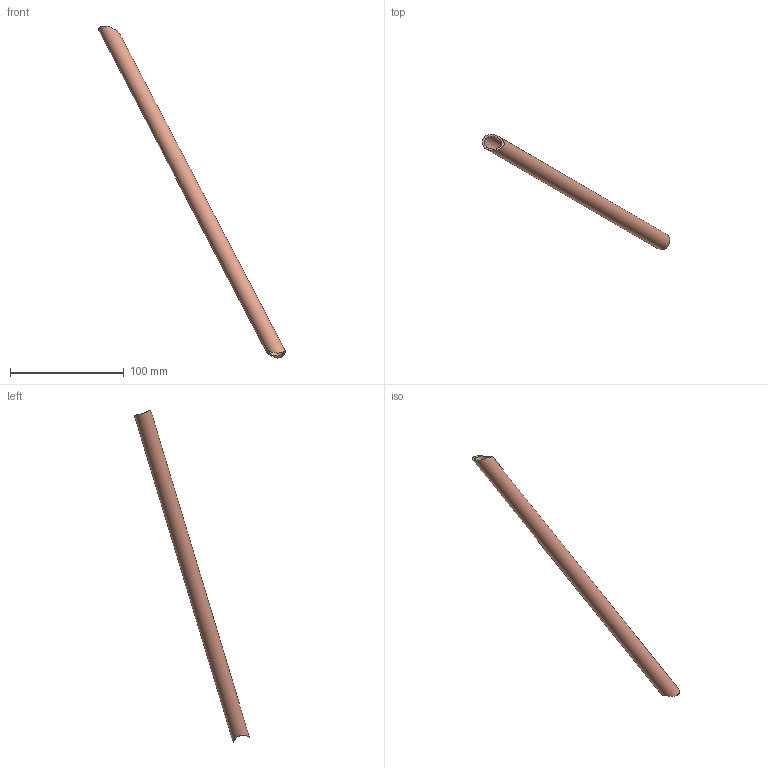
import cadquery as cq
import math

tube_diameter = 15.0
wall_thickness = 1.5
tube_radius = tube_diameter / 2
bore_radius = tube_radius - wall_thickness

lower_node = cq.Vector(0, 0, 0)
upper_node = cq.Vector(-160.12, 92.64, 306.89)

lower_cope_radius = 10.0
upper_cope_radius = 14.0
upper_cope_fall = math.radians(15)
lower_cope_axis = cq.Vector(1, 0, 0)
upper_cope_axis = cq.Vector(math.cos(upper_cope_fall), 0, -math.sin(upper_cope_fall))

cope_length = 10 * tube_diameter
bore_overrun = 1.0

tube_span = upper_node - lower_node
tube_axis = tube_span.normalized()
tube_middle = lower_node + tube_span * 0.5


def cylinder_about(center, axis, radius, length):
    """Solid cylinder of the given length, centred on a point of its axis."""
    return cq.Solid.makeCylinder(radius, length, center - axis * (length / 2), axis)


def straight_tube():
    """Tube with square ends at the two nodes, inside both crossing tubes."""
    length = tube_span.Length
    outside = cylinder_about(tube_middle, tube_axis, tube_radius, length)
    bore = cylinder_about(tube_middle, tube_axis, bore_radius, length + 2 * bore_overrun)
    return cq.Workplane("XY").newObject([outside.cut(bore)])


def coped(tube, node, axis, radius):
    """Tube with the crossing tube's outer cylinder removed at one node."""
    return tube.cut(cq.Workplane("XY").newObject([cylinder_about(node, axis, radius, cope_length)]))


result = straight_tube()
result = coped(result, lower_node, lower_cope_axis, lower_cope_radius)
result = coped(result, upper_node, upper_cope_axis, upper_cope_radius)